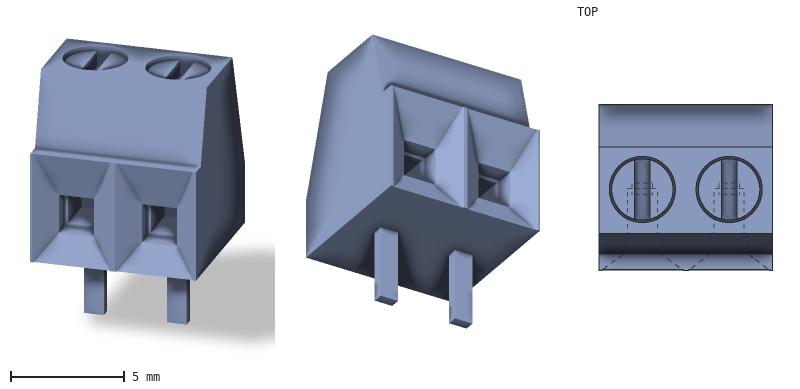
import cadquery as cq


pole_count = 2
width = 7.62
pitch = width / pole_count
depth = 7.3
total_height = 12.0
pin_length = 3.49
height = total_height - pin_length
ledge_depth = 0.73
ledge_height = 5.11
top_front = 1.62
top_back = 5.44
back_wall_height = 2.85

funnel_width = 3.61
funnel_overrun = 0.1
funnel_depth = 0.75
entry_width = 1.62
entry_height = 1.8
entry_depth = 0.86
entry_center_z = 2.12
bore_inset = 0.15
bore_depth = 2.0

screw_y = 3.56
screw_diameter = 2.7
screw_hole_diameter = 2.9
screw_sink = 0.2
slot_width = 0.67
slot_depth = 0.72
screw_hole_depth = 1.44

pin_y = 3.6
pin_width = 0.9
pin_thickness = 0.5

pole_positions = [(i - (pole_count - 1) / 2) * pitch for i in range(pole_count)]


def make_housing():
    profile = [
        (0, 0),
        (depth, 0),
        (depth, back_wall_height),
        (top_back, height),
        (top_front, height),
        (ledge_depth, ledge_height),
        (0, ledge_height),
    ]
    return cq.Workplane("YZ").polyline(profile).close().extrude(width / 2, both=True)


def box_inward(x, z, size_x, size_z, start_y, length):
    """Box centred on (x, z) that runs from start_y towards the back."""
    box = cq.Workplane("XY").box(size_x, length, size_z, centered=(True, False, True))
    return box.translate((x, start_y, z))


def make_wire_entry(x):
    mouth_height = ledge_height + 2 * funnel_overrun
    funnel = (
        cq.Workplane("XZ", origin=(x, 0, 0))
        .center(0, ledge_height / 2)
        .rect(funnel_width, mouth_height)
        .workplane(offset=-funnel_depth)
        .center(0, entry_center_z - ledge_height / 2)
        .rect(entry_width, entry_height)
        .loft(ruled=True)
    )
    entry = box_inward(x, entry_center_z, entry_width, entry_height, funnel_depth, entry_depth)
    bore_width = entry_width - 2 * bore_inset
    bore_height = entry_height - 2 * bore_inset
    bore_start = funnel_depth + entry_depth
    bore = box_inward(x, entry_center_z, bore_width, bore_height, bore_start, bore_depth)
    return funnel.union(entry).union(bore)


def make_screw_recess(x):
    """Clearance hole with the slotted screw left standing in it."""
    floor_z = height - screw_hole_depth
    floor = cq.Workplane("XY", origin=(x, screw_y, floor_z))
    hole = floor.circle(screw_hole_diameter / 2).extrude(screw_hole_depth)
    screw = floor.circle(screw_diameter / 2).extrude(screw_hole_depth - screw_sink)
    slot_floor = floor.workplane(offset=screw_hole_depth - screw_sink - slot_depth)
    slot = slot_floor.rect(slot_width, screw_hole_diameter).extrude(slot_depth)
    return hole.cut(screw.cut(slot))


def make_pin(x):
    pin = cq.Workplane("XY", origin=(x, pin_y, 0))
    return pin.rect(pin_width, pin_thickness).extrude(-pin_length)


result = make_housing()
for pole_x in pole_positions:
    result = result.cut(make_wire_entry(pole_x))
    result = result.cut(make_screw_recess(pole_x))
    result = result.union(make_pin(pole_x))